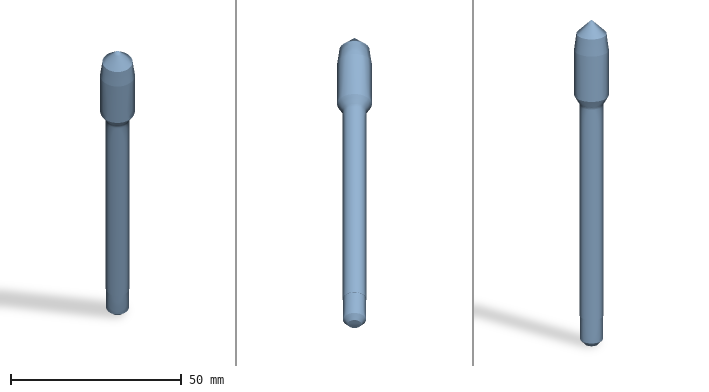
import cadquery as cq

total_length = 104.0
head_diameter = 10.2
shank_diameter = 7.0
tail_diameter = 6.8
tip_base_diameter = 8.8
tail_end_diameter = 4.0

tail_chamfer_height = 1.6
tail_length = 9.0
neck_base_height = 77.1
neck_top_height = 79.9
taper_base_height = 94.4
tip_height = 4.4

neck_fillet_radius = 1.2

tip_base_height = total_length - tip_height

profile = (
    cq.Workplane("XZ")
    .moveTo(0, 0)
    .lineTo(tail_end_diameter / 2, 0)
    .lineTo(tail_diameter / 2, tail_chamfer_height)
    .lineTo(tail_diameter / 2, tail_length)
    .lineTo(shank_diameter / 2, tail_length)
    .lineTo(shank_diameter / 2, neck_base_height)
    .lineTo(head_diameter / 2, neck_top_height)
    .lineTo(head_diameter / 2, taper_base_height)
    .lineTo(tip_base_diameter / 2, tip_base_height)
    .lineTo(0, total_length)
    .close()
)

pin = profile.revolve(360, (0, 0), (0, 1))

neck_edge = cq.selectors.BoxSelector(
    (-head_diameter, -head_diameter, neck_base_height - neck_fillet_radius),
    (head_diameter, head_diameter, neck_base_height + neck_fillet_radius),
    boundingbox=True,
)
result = pin.edges(neck_edge).fillet(neck_fillet_radius)